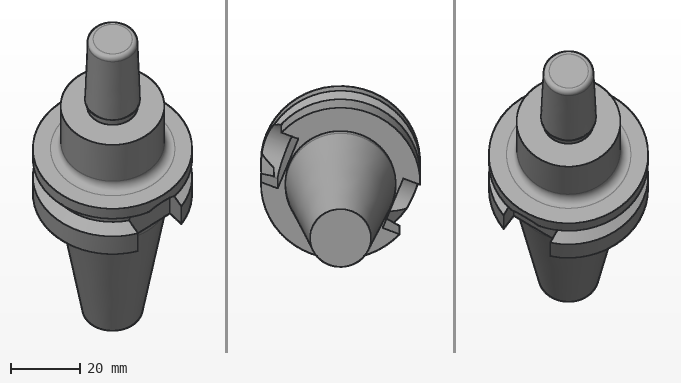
import cadquery as cq
import math

total_height = 118.8
taper_top = 48.5
flange_bottom = 50.4
lower_rim_top = 58.2
groove_bottom = 60.2
groove_top = 63.9
upper_rim_bottom = 66.0
flange_top = 70.5
boss_top = 89.3
neck_top = 91.5
stem_cone_bottom = 92.2

taper_small_radius = 8.8
taper_large_radius = 15.9
flange_radius = 22.99
groove_radius = 19.2
boss_radius = 15.0
boss_fillet = 3.0
neck_radius = 7.4
stem_base_radius = 8.0
stem_end_radius = 7.2
stem_rounding = 1.6

slot_width = 16.2
slot_top = 67.6
slot_floor = 16.3


def make_body():
    """Revolved holder: lower taper, grooved flange, boss and tapered stem."""
    diagonal = math.sqrt(0.5)
    boss_fillet_middle = (
        boss_radius + boss_fillet * (1 - diagonal),
        flange_top + boss_fillet * (1 - diagonal),
    )
    rounding_middle = (
        stem_end_radius - stem_rounding * (1 - diagonal),
        total_height - stem_rounding * (1 - diagonal),
    )
    profile = (
        cq.Workplane("XZ")
        .lineTo(taper_small_radius, 0)
        .lineTo(taper_large_radius, taper_top)
        .lineTo(taper_large_radius, flange_bottom)
        .lineTo(flange_radius, flange_bottom)
        .lineTo(flange_radius, lower_rim_top)
        .lineTo(groove_radius, groove_bottom)
        .lineTo(groove_radius, groove_top)
        .lineTo(flange_radius, upper_rim_bottom)
        .lineTo(flange_radius, flange_top)
        .lineTo(boss_radius + boss_fillet, flange_top)
        .threePointArc(boss_fillet_middle, (boss_radius, flange_top + boss_fillet))
        .lineTo(boss_radius, boss_top)
        .lineTo(neck_radius, boss_top)
        .lineTo(neck_radius, neck_top)
        .lineTo(stem_base_radius, stem_cone_bottom)
        .lineTo(stem_end_radius, total_height - stem_rounding)
        .threePointArc(rounding_middle, (stem_end_radius - stem_rounding, total_height))
        .lineTo(0, total_height)
        .close()
    )
    return profile.revolve(360, (0, 0), (0, 1))


def make_slot_cutter():
    """Round-topped slot, open at the flange underside, on the +X side."""
    half_width = slot_width / 2
    arc_center = slot_top - half_width
    return (
        cq.Workplane("YZ", origin=(slot_floor, 0, 0))
        .moveTo(-half_width, flange_bottom)
        .lineTo(half_width, flange_bottom)
        .lineTo(half_width, arc_center)
        .threePointArc((0, slot_top), (-half_width, arc_center))
        .close()
        .extrude(flange_radius - slot_floor)
    )


result = make_body()
for side_angle in (0, 180):
    result = result.cut(make_slot_cutter().rotate((0, 0, 0), (0, 0, 1), side_angle))